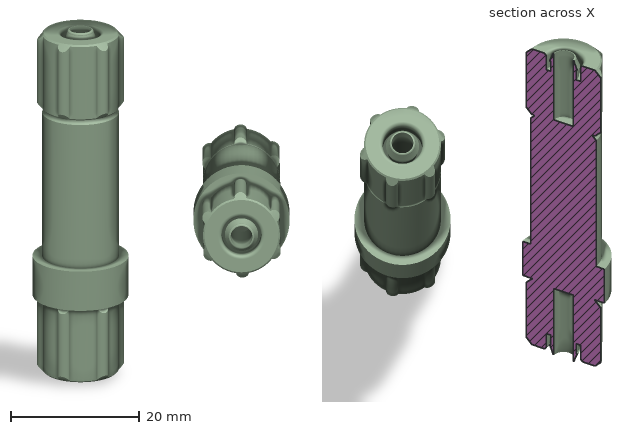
import cadquery as cq
import math

total_length = 57.0
tip_projection = 0.5
nut_length = 12.5
flange_length = 6.5
flange_bottom = tip_projection + nut_length
body_top = total_length - flange_bottom

body_diameter = 12.0
flange_diameter = 15.0
body_chamfer = 0.7

nut_diameter = 12.0
nut_face_diameter = 11.5
rib_count = 6
rib_radius = 1.0
rib_center_radius = 5.8
first_rib_angle = 90.0

recess_diameter = 6.2
recess_depth = 3.0
recess_rounding = 0.55

bore_diameter = 3.4
bore_depth = nut_length
tip_rounding = 0.33
barb_diameter = 5.2
barb_edge_depth = 1.25
stem_diameter = 4.8


def make_body():
    """Plain cylinder between the nuts, chamfered at its top edge."""
    body = cq.Workplane("XY").workplane(offset=flange_bottom)
    body = body.circle(body_diameter / 2).extrude(body_top - flange_bottom)
    return body.faces(">Z").chamfer(body_chamfer)


def make_flange():
    """Wide collar above the lower nut."""
    flange = cq.Workplane("XY").workplane(offset=flange_bottom)
    return flange.circle(flange_diameter / 2).extrude(flange_length)


def make_nut_envelope():
    """Barrel with 45 degree cones at both ends that trims the ribbed nut."""
    face_radius = nut_face_diameter / 2
    outer_radius = rib_center_radius + rib_radius
    cone_height = outer_radius - face_radius
    outline = [
        (0, 0),
        (face_radius, 0),
        (outer_radius, cone_height),
        (outer_radius, nut_length - cone_height),
        (face_radius, nut_length),
        (0, nut_length),
    ]
    return cq.Workplane("XZ").polyline(outline).close().revolve(360, (0, 0), (0, 1))


def make_nut():
    """Ribbed nut from Z = 0 to its outer face, with a rounded recess in that face."""
    nut = cq.Workplane("XY").circle(nut_diameter / 2).extrude(nut_length)
    rib = cq.Workplane("XY").center(rib_center_radius, 0).circle(rib_radius).extrude(nut_length)
    for index in range(rib_count):
        angle = first_rib_angle + index * 360 / rib_count
        nut = nut.union(rib.rotate((0, 0, 0), (0, 0, 1), angle))
    nut = nut.intersect(make_nut_envelope())
    nut = nut.faces(">Z").workplane().hole(recess_diameter, recess_depth)
    return nut.edges(cq.selectors.RadiusNthSelector(0)).edges(">Z").fillet(recess_rounding)


def make_barb():
    """Barb above the recess floor, in the same position as the nut."""
    tip_level = nut_length + tip_projection
    floor_level = nut_length - recess_depth
    barb_edge_level = nut_length - barb_edge_depth
    bore_radius = bore_diameter / 2
    rounding_rise = tip_rounding * math.sqrt(0.5)
    rounding_start = tip_level - tip_rounding
    outline = (
        cq.Workplane("XZ")
        .moveTo(0, floor_level)
        .lineTo(stem_diameter / 2, floor_level)
        .lineTo(stem_diameter / 2, barb_edge_level)
        .lineTo(barb_diameter / 2, barb_edge_level)
        .lineTo(bore_radius + tip_rounding, rounding_start)
        .threePointArc(
            (bore_radius + rounding_rise, rounding_start + rounding_rise),
            (bore_radius, tip_level),
        )
        .lineTo(0, tip_level)
        .close()
    )
    return outline.revolve(360, (0, 0), (0, 1))


def make_end():
    """Nut and barb together, with the blind bore cut down from the barb tip."""
    end = make_nut().union(make_barb())
    bore = cq.Workplane("XY").workplane(offset=nut_length + tip_projection - bore_depth)
    return end.cut(bore.circle(bore_diameter / 2).extrude(bore_depth))


end = make_end()
upper_end = end.translate((0, 0, body_top))
lower_end = end.mirror("XY").translate((0, 0, flange_bottom))

result = make_body().union(make_flange()).union(upper_end).union(lower_end)